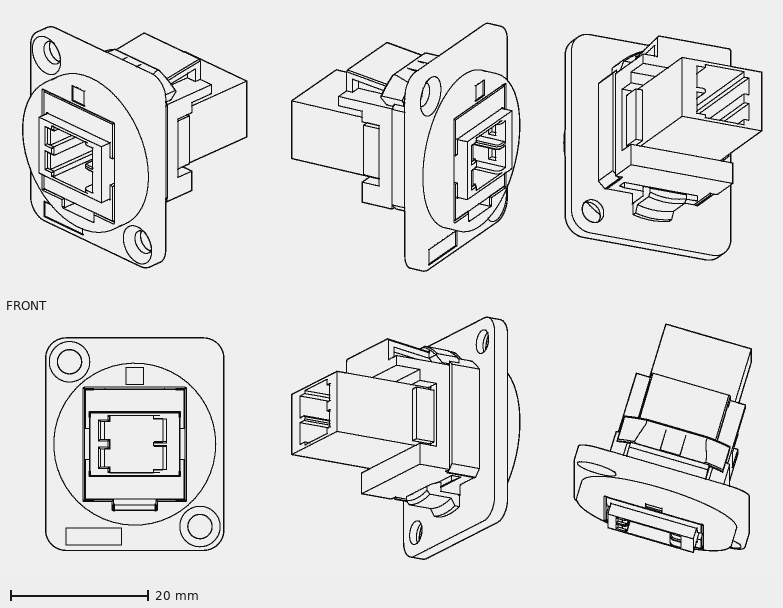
import cadquery as cq
import math


FLANGE_WIDTH = 26.0
FLANGE_HEIGHT = 31.0
FLANGE_THICK = 2.35
FLANGE_CORNER_R = 3.0
FRONT_EDGE_R = 0.3
DISC_R = 11.8
DISC_FRONT = -2.8
SCREW_X = 9.5
SCREW_Z = 12.0
SCREW_D = 3.5
SCREW_HEAD_D = 5.9
SCREW_HEAD_ANGLE = 90.0
LABEL_DEPTH = 0.2
DISC_LABEL = (0.0, 9.92, 2.48, 2.46)
FLANGE_LABEL = (-5.97, -13.43, 8.07, 2.46)

OPENING_HALF_WIDTH = 7.3
OPENING_TOP = 8.06
OPENING_BOTTOM = -8.14
OPENING_CHAMFER = 0.23
BARREL_REAR = 7.0
BARREL_HALF_WIDTH = 8.63
BARREL_TOP = 9.85
BARREL_BOTTOM = -8.2
BARREL_CHAMFER = 1.05

CATCH_Y = 5.47
BRIDGE_REAR = 9.33
BRIDGE_HALF_WIDTH = 8.02
BRIDGE_TOP = 11.55
BRIDGE_R = 12.42
BRIDGE_UNDERSIDE = 8.25
BRIDGE_RAMP_FRONT = 8.27
BRIDGE_REAR_BOTTOM = 9.27
BRIDGE_EDGE_CHAMFER = 0.2
BRIDGE_SLOPE_REAR = 8.55
BRIDGE_SLOPE_DROP = 0.42
BRIDGE_LAND_HALF_WIDTH = 1.5

LATCH_HALF_WIDTH = 2.95
LATCH_TOP = -9.6
LATCH_TIP_Y = 7.84
LATCH_TIP_Z = -9.2
LATCH_RAMP_Y = 7.24
LATCH_RAMP_Z = -8.83
LATCH_PEAK_REAR = 5.87
LATCH_PEAK_Z = -8.24
LATCH_R = 10.75
LATCH_ROOT_REAR = 3.1
LATCH_ROOT_SLOPE = 0.65
LATCH_TIP_CHAMFER = 0.5
LATCH_WINDOW_HALF_WIDTH = 3.1
LATCH_WINDOW_BOTTOM = -9.7
LATCH_WINDOW_TAPER_BOTTOM = LATCH_WINDOW_BOTTOM + OPENING_CHAMFER

INSERT_HALF_WIDTH = 7.15
CLIP_TOP = 7.96
CLIP_BOTTOM = -8.0
CLIP_HALF_WIDTH = 8.31
CLIP_SHOULDER = 7.18
CLIP_REAR = 12.25
CLIP_LIP_REAR = 16.2
CLIP_LIP_BOTTOM = 6.48
CLIP_POCKET_FLOOR = 9.4
CLIP_POCKET_HALF_HEIGHT = 4.8
SIDE_NOTCH_HALF_HEIGHT = 2.27
ADAPTER_CLEARANCE = 0.1
ARM_HALF_WIDTH = 5.98
ARM_THICK = 1.06
ARM_ROOT_TOP = 11.22
ARM_SLOPE = 0.125
ARM_EDGE_CHAMFER = 0.22
ARM_POST_FRONT = 15.2
ARM_BLOCK_FRONT = 10.66
ARM_BLOCK_HALF_WIDTH = 4.3
ARM_CLEARANCE = 0.05
HOOK_FRONT = 3.04
HOOK_FRONT_Z = 9.43
HOOK_RAMP_REAR = 4.75
HOOK_RAMP_Z = 10.8
HOOK_PEAK_Z = 10.92
LUG_FRONT = 3.9
LUG_DEPTH = 0.83

ADAPTER_FRONT = -4.42
ADAPTER_LENGTH = 29.6
ADAPTER_REAR = ADAPTER_FRONT + ADAPTER_LENGTH
ADAPTER_HALF_WIDTH = 6.5
ADAPTER_HALF_HEIGHT = 4.6
EAR_HALF_WIDTH = 7.6
EAR_HALF_HEIGHT = 3.95
EAR_REAR = 12.4
BORE_HALF_HEIGHT = 4.15
BORE_LEFT = -3.63
BORE_RIGHT = 4.62
BORE_RIGHT_REAR = 4.1
BORE_STEP_Y = 10.0
KEYWAY_LEFT = -4.39
KEYWAY_INNER_Z = 0.7
KEYWAY_OUTER_Z = 3.3
LEAD_IN = 0.25
LEAD_LEFT = -5.26
RIB_TIP_X = 2.7
RIB_NOSE_R = 0.87
RIB_HALF_THICK = 0.37
RIB_CHAMFER = 0.2
OUTER_RIB_Z = 3.7
WINDOW_FRONT = -2.73
WINDOW_REAR = -1.53
WINDOW_X = 5.6
WINDOW_LOW_Z = 0.97
WINDOW_HIGH_Z = 3.0


def block(x0, x1, y0, y1, z0, z1):
    """Box between two corners."""
    return cq.Workplane("XY").box(x1 - x0, y1 - y0, z1 - z0, centered=False).translate((x0, y0, z0))


def wide_block(half_width, y0, y1, z0, z1):
    """Box centred on X = 0."""
    return block(-half_width, half_width, y0, y1, z0, z1)


def side_profile(points, half_width):
    """Outline of (y, z) points, extruded equally to both sides of X = 0."""
    return cq.Workplane("YZ").polyline(points).close().extrude(half_width, both=True)


def rear_plane(y):
    """Sketch plane across Y, with x right and z up; a positive extrusion runs towards the front."""
    return cq.Workplane("XZ", origin=(0, y, 0))


def disc(radius, y0, y1):
    """Cylinder about the Y axis."""
    return rear_plane(y1).circle(radius).extrude(y1 - y0)


def arm_top(y):
    """Height of the sloping top face of the keystone spring arm."""
    return ARM_ROOT_TOP - ARM_SLOPE * (CLIP_LIP_REAR - y)


def make_flange():
    plate = rear_plane(FLANGE_THICK).rect(FLANGE_WIDTH, FLANGE_HEIGHT).extrude(FLANGE_THICK)
    plate = plate.edges("|Y").fillet(FLANGE_CORNER_R)
    plate = plate.faces("<Y").edges().fillet(FRONT_EDGE_R)
    front_disc = disc(DISC_R, DISC_FRONT, FLANGE_THICK)
    front_disc = front_disc.faces("<Y").edges().fillet(FRONT_EDGE_R)
    return plate.union(front_disc)


def screw_hole(x, z):
    """Countersunk screw clearance hole, sunk from the flange front."""
    head_r = SCREW_HEAD_D / 2
    hole_r = SCREW_D / 2
    sink = (head_r - hole_r) / math.tan(math.radians(SCREW_HEAD_ANGLE / 2))
    outline = [(0, 0), (head_r, 0), (hole_r, sink), (hole_r, FLANGE_THICK), (0, FLANGE_THICK)]
    hole = cq.Workplane("XY").polyline(outline).close().revolve(360, (0, 0), (0, 1))
    clearance = disc(head_r, DISC_FRONT, 0)
    return hole.union(clearance).translate((x, 0, z))


def label_recess(label, front):
    """Shallow rectangular label panel sunk into a front face."""
    x, z, width, height = label
    return block(x - width / 2, x + width / 2, front, front + LABEL_DEPTH, z - height / 2, z + height / 2)


def make_barrel():
    body = wide_block(BARREL_HALF_WIDTH, FLANGE_THICK, BARREL_REAR, BARREL_BOTTOM, BARREL_TOP)
    body = body.edges("|Y and <Z").chamfer(BARREL_CHAMFER)
    return body.intersect(disc(DISC_R, FLANGE_THICK, BARREL_REAR))


def make_bridge():
    profile = [
        (CATCH_Y, BRIDGE_UNDERSIDE),
        (BRIDGE_RAMP_FRONT, BRIDGE_UNDERSIDE),
        (BRIDGE_REAR, BRIDGE_REAR_BOTTOM),
        (BRIDGE_REAR, BRIDGE_TOP - BRIDGE_EDGE_CHAMFER),
        (BRIDGE_REAR - BRIDGE_EDGE_CHAMFER, BRIDGE_TOP),
        (CATCH_Y, BRIDGE_TOP),
    ]
    bridge = side_profile(profile, BRIDGE_HALF_WIDTH)
    envelope = disc(BRIDGE_R, CATCH_Y, BRIDGE_REAR)
    envelope = envelope.edges("%CIRCLE").chamfer(BRIDGE_EDGE_CHAMFER)
    bridge = bridge.intersect(envelope)
    slope = [
        (BRIDGE_SLOPE_REAR, BRIDGE_TOP),
        (CATCH_Y, BRIDGE_TOP),
        (CATCH_Y, BRIDGE_TOP - BRIDGE_SLOPE_DROP),
    ]
    land = wide_block(BRIDGE_LAND_HALF_WIDTH, CATCH_Y, BRIDGE_REAR, BRIDGE_UNDERSIDE, BRIDGE_TOP)
    return bridge.cut(side_profile(slope, BRIDGE_HALF_WIDTH).cut(land))


def arm_slot():
    """Room for the keystone arm under the bridge and for its hook in the barrel top."""
    front = HOOK_FRONT - ARM_CLEARANCE
    profile = [
        (front, 0),
        (BRIDGE_REAR, 0),
        (BRIDGE_REAR, arm_top(BRIDGE_REAR) + ARM_CLEARANCE),
        (CATCH_Y, arm_top(CATCH_Y) + ARM_CLEARANCE),
        (CATCH_Y, BRIDGE_TOP),
        (front, BRIDGE_TOP),
    ]
    return side_profile(profile, ARM_HALF_WIDTH + ARM_CLEARANCE)


def make_spring_latch():
    profile = [
        (FLANGE_THICK, LATCH_TOP),
        (CATCH_Y, LATCH_TOP),
        (CATCH_Y, LATCH_PEAK_Z),
        (LATCH_PEAK_REAR, LATCH_PEAK_Z),
        (LATCH_RAMP_Y, LATCH_RAMP_Z),
        (LATCH_TIP_Y, LATCH_TIP_Z),
        (LATCH_TIP_Y, -DISC_R),
        (FLANGE_THICK, -DISC_R),
    ]
    underside = [
        (0, FLANGE_THICK),
        (DISC_R, FLANGE_THICK),
        (DISC_R, LATCH_ROOT_REAR),
        (LATCH_R, LATCH_ROOT_REAR + LATCH_ROOT_SLOPE),
        (LATCH_R, LATCH_TIP_Y - LATCH_TIP_CHAMFER),
        (LATCH_R - LATCH_TIP_CHAMFER, LATCH_TIP_Y),
        (0, LATCH_TIP_Y),
    ]
    envelope = cq.Workplane("XY").polyline(underside).close().revolve(360, (0, 0), (0, 1))
    return side_profile(profile, LATCH_HALF_WIDTH).intersect(envelope)


def chamfered_opening(half_width, z0, z1, rear):
    """Rectangular through opening with a chamfered front edge on the disc."""
    centre = (z0 + z1) / 2
    flare = cq.Workplane("XZ", origin=(0, DISC_FRONT + OPENING_CHAMFER, centre))
    flare = flare.rect(2 * half_width, z1 - z0).extrude(OPENING_CHAMFER, taper=-45)
    return wide_block(half_width, DISC_FRONT, rear, z0, z1).union(flare)


def make_housing():
    body = make_flange().union(make_barrel()).union(make_bridge())
    body = body.cut(arm_slot())
    body = body.cut(chamfered_opening(OPENING_HALF_WIDTH, OPENING_BOTTOM, OPENING_TOP, BARREL_REAR))
    body = body.cut(wide_block(OPENING_HALF_WIDTH, FLANGE_THICK, BARREL_REAR, BARREL_BOTTOM, 0))
    body = body.cut(chamfered_opening(LATCH_WINDOW_HALF_WIDTH, LATCH_WINDOW_TAPER_BOTTOM, 0, FLANGE_THICK))
    body = body.cut(wide_block(LATCH_WINDOW_HALF_WIDTH, DISC_FRONT, FLANGE_THICK, LATCH_WINDOW_BOTTOM, 0))
    for side in (-1, 1):
        body = body.cut(screw_hole(side * SCREW_X, -side * SCREW_Z))
    body = body.cut(label_recess(DISC_LABEL, DISC_FRONT))
    body = body.cut(label_recess(FLANGE_LABEL, 0))
    return body.union(make_spring_latch())


def make_arm():
    """Spring arm on a rear post, with the catch hook at its front end."""
    profile = [
        (CLIP_LIP_REAR, CLIP_TOP),
        (CLIP_LIP_REAR, ARM_ROOT_TOP),
        (CATCH_Y, arm_top(CATCH_Y)),
        (CATCH_Y, HOOK_PEAK_Z),
        (HOOK_RAMP_REAR, HOOK_RAMP_Z),
        (HOOK_FRONT, HOOK_FRONT_Z),
        (HOOK_FRONT, arm_top(HOOK_FRONT) - ARM_THICK),
        (ARM_POST_FRONT, arm_top(ARM_POST_FRONT) - ARM_THICK),
        (ARM_POST_FRONT, CLIP_TOP),
    ]
    arm = side_profile(profile, ARM_HALF_WIDTH)
    middle = (CATCH_Y + CLIP_LIP_REAR) / 2
    top_middle = (0, middle, arm_top(middle))
    arm = arm.faces(cq.selectors.NearestToPointSelector(top_middle)).edges("not |X").chamfer(ARM_EDGE_CHAMFER)
    support = [
        (ARM_BLOCK_FRONT, CLIP_TOP),
        (ARM_POST_FRONT, CLIP_TOP),
        (ARM_POST_FRONT, arm_top(ARM_POST_FRONT) - ARM_THICK),
        (ARM_BLOCK_FRONT, arm_top(ARM_BLOCK_FRONT) - ARM_THICK),
    ]
    return arm.union(side_profile(support, ARM_BLOCK_HALF_WIDTH))


def make_lug():
    """Fixed wedge under the clip that rests against the housing spring latch."""
    profile = [
        (LUG_FRONT, CLIP_BOTTOM),
        (CATCH_Y, CLIP_BOTTOM - LUG_DEPTH),
        (CATCH_Y, CLIP_BOTTOM),
    ]
    return side_profile(profile, ARM_HALF_WIDTH)


def make_keystone():
    insert = wide_block(INSERT_HALF_WIDTH, DISC_FRONT, CLIP_SHOULDER, CLIP_BOTTOM, CLIP_TOP)
    insert = insert.cut(wide_block(
        INSERT_HALF_WIDTH, DISC_FRONT, CLIP_SHOULDER, -SIDE_NOTCH_HALF_HEIGHT, SIDE_NOTCH_HALF_HEIGHT))
    body = wide_block(CLIP_HALF_WIDTH, CLIP_SHOULDER, CLIP_REAR, CLIP_BOTTOM, CLIP_TOP)
    lip = wide_block(CLIP_HALF_WIDTH, CLIP_REAR, CLIP_LIP_REAR, CLIP_LIP_BOTTOM, CLIP_TOP)
    body = body.union(lip).union(insert).union(make_arm()).union(make_lug())
    body = body.cut(wide_block(
        CLIP_HALF_WIDTH, CLIP_POCKET_FLOOR, CLIP_REAR, -CLIP_POCKET_HALF_HEIGHT, CLIP_POCKET_HALF_HEIGHT))
    hole_half_height = ADAPTER_HALF_HEIGHT + ADAPTER_CLEARANCE
    return body.cut(wide_block(
        ADAPTER_HALF_WIDTH + ADAPTER_CLEARANCE, DISC_FRONT, CLIP_REAR, -hole_half_height, hole_half_height))


def make_rib(z0, z1):
    """Guide rib along the right wall of the bore, with a rounded nose at the front."""
    rib = block(RIB_TIP_X, BORE_RIGHT, ADAPTER_FRONT, ADAPTER_REAR, z0, z1)
    return rib.edges("|Z and <X and <Y").fillet(RIB_NOSE_R)


def make_bore():
    bore = block(BORE_LEFT, BORE_RIGHT_REAR, ADAPTER_FRONT, ADAPTER_REAR, -BORE_HALF_HEIGHT, BORE_HALF_HEIGHT)
    bore = bore.union(block(
        BORE_LEFT, BORE_RIGHT, ADAPTER_FRONT, BORE_STEP_Y, -BORE_HALF_HEIGHT, BORE_HALF_HEIGHT))
    for side in (-1, 1):
        inner, outer = sorted((side * KEYWAY_INNER_Z, side * KEYWAY_OUTER_Z))
        bore = bore.union(block(KEYWAY_LEFT, 0, ADAPTER_FRONT, ADAPTER_REAR, inner, outer))
        low, high = sorted((side * WINDOW_LOW_Z, side * WINDOW_HIGH_Z))
        bore = bore.union(block(BORE_RIGHT_REAR, WINDOW_X, WINDOW_FRONT, WINDOW_REAR, low, high))
        rib_low, rib_high = sorted((side * OUTER_RIB_Z, side * BORE_HALF_HEIGHT))
        bore = bore.cut(make_rib(rib_low, rib_high))
    centre_rib = make_rib(-RIB_HALF_THICK, RIB_HALF_THICK)
    return bore.cut(centre_rib.edges("|X and <Y").chamfer(RIB_CHAMFER))


def lead_in():
    """Flared front edge along the keyed left side of the bore."""
    tooth_x = BORE_LEFT - LEAD_IN
    inner = KEYWAY_INNER_Z - LEAD_IN
    outer = KEYWAY_OUTER_Z + LEAD_IN
    upper = [(0, BORE_HALF_HEIGHT), (tooth_x, BORE_HALF_HEIGHT), (tooth_x, outer),
             (LEAD_LEFT, outer), (LEAD_LEFT, inner), (tooth_x, inner)]
    lower = [(x, -z) for x, z in reversed(upper)]
    outline = cq.Workplane("XZ", origin=(0, ADAPTER_FRONT, 0)).polyline(upper + lower).close()
    return outline.extrude(-LEAD_IN, taper=45)


def make_adapter():
    body = wide_block(
        ADAPTER_HALF_WIDTH, ADAPTER_FRONT, ADAPTER_REAR, -ADAPTER_HALF_HEIGHT, ADAPTER_HALF_HEIGHT)
    ears = wide_block(EAR_HALF_WIDTH, CLIP_POCKET_FLOOR, EAR_REAR, -EAR_HALF_HEIGHT, EAR_HALF_HEIGHT)
    return body.union(ears).cut(make_bore()).cut(lead_in())


housing = make_housing()
keystone = make_keystone()
adapter = make_adapter()

result = cq.Compound.makeCompound([body.solids().val() for body in (housing, keystone, adapter)])